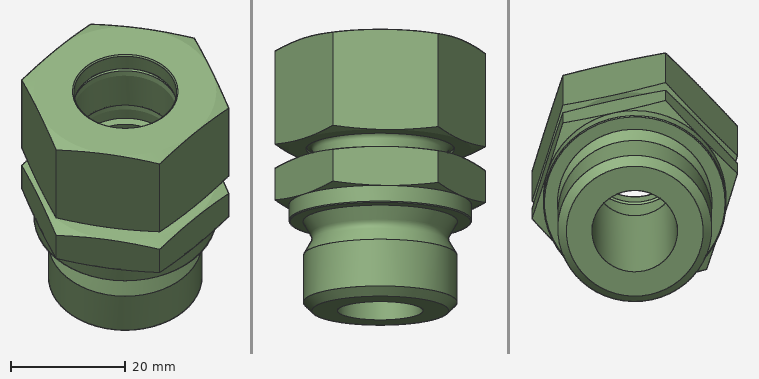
import cadquery as cq
import math

flange_bottom = 16.0
hex_bottom = 19.0
hex_top = 26.0
nut_bottom = 29.0
overall_height = 47.0

hexagon_sides = 6
across_flats = 32.0
hex_bevel_angle = 15.0

through_bore = 15.0
stud_diameter = 27.0
stud_chamfer = 1.5
groove_edge_diameter = 24.4
groove_angle = 30.0
groove_arc_bottom = 12.13
groove_arc_top = 13.65
flange_edge_chamfer = 0.2

neck_diameter = 23.7
neck_fillet = 1.1
neck_top = 28.4
thread_diameter = 26.0
socket_depth = 7.5
cone_mouth = 20.3
cone_half_angle = 12.0

tube_diameter = 18.0
nut_mouth_chamfer = 0.25
nut_lip_bottom = 43.7
ring_top = 42.95
ring_bottom = 34.75
ring_end_thickness = 0.25
ring_diameter = 23.0
ring_lead_in_height = 1.05

tube_radius = tube_diameter / 2
ring_radius = ring_diameter / 2
neck_radius = neck_diameter / 2
thread_radius = thread_diameter / 2
mouth_radius = cone_mouth / 2
stud_radius = stud_diameter / 2
flange_radius = across_flats / 2
groove_edge_radius = groove_edge_diameter / 2
cone_slope = math.tan(math.radians(cone_half_angle))
cone_bottom = ring_bottom - ring_end_thickness / cone_slope
body_top = cone_bottom + (mouth_radius - tube_radius) / cone_slope
ring_shoulder_bottom = nut_lip_bottom - (ring_radius - tube_radius)
ring_top_radius = tube_radius + nut_lip_bottom - ring_top


def revolve(outline):
    """Spin an outline of (radius, height) points around the Z axis."""
    return outline.close().revolve(360, (0, 0, 0), (0, 1, 0))


def bevelled_hexagon(bottom, top):
    """Hexagonal prism with flats facing X and its corners bevelled at both ends."""
    corner_radius = across_flats / math.sqrt(3)
    half_sector = 360 / hexagon_sides / 2
    bevel_drop = (corner_radius - flange_radius) * math.tan(math.radians(hex_bevel_angle))
    prism = (
        cq.Workplane("XY", origin=(0, 0, bottom))
        .polygon(hexagon_sides, 2 * corner_radius).extrude(top - bottom)
        .rotate((0, 0, 0), (0, 0, 1), half_sector)
    )
    envelope = revolve(
        cq.Workplane("XZ")
        .moveTo(0, bottom)
        .lineTo(flange_radius, bottom)
        .lineTo(corner_radius, bottom + bevel_drop)
        .lineTo(corner_radius, top - bevel_drop)
        .lineTo(flange_radius, top)
        .lineTo(0, top)
    )
    return prism.intersect(envelope)


def make_stud():
    """Stud with a V-shaped, round-bottomed groove below the flange."""
    slope = math.tan(math.radians(groove_angle))
    stud_cone_top = groove_arc_bottom - (stud_radius - groove_edge_radius) / slope
    arc_height = groove_arc_top - groove_arc_bottom
    arc_depth = arc_height / 2 * math.tan(math.radians(groove_angle / 2))
    arc_middle = (groove_edge_radius - arc_depth, (groove_arc_bottom + groove_arc_top) / 2)
    shoulder_radius = groove_edge_radius + (flange_bottom - groove_arc_top) * slope
    return revolve(
        cq.Workplane("XZ")
        .moveTo(0, 0)
        .lineTo(stud_radius - stud_chamfer, 0)
        .lineTo(stud_radius, stud_chamfer)
        .lineTo(stud_radius, stud_cone_top)
        .lineTo(groove_edge_radius, groove_arc_bottom)
        .threePointArc(arc_middle, (groove_edge_radius, groove_arc_top))
        .lineTo(shoulder_radius, flange_bottom)
        .lineTo(flange_radius - flange_edge_chamfer, flange_bottom)
        .lineTo(flange_radius, flange_bottom + flange_edge_chamfer)
        .lineTo(flange_radius, hex_bottom)
        .lineTo(0, hex_bottom)
    )


def make_nut_end():
    """Relieved neck and threaded end, modelled as a plain cylinder, that carry the nut."""
    arc_inset = neck_fillet * (1 - math.sqrt(0.5))
    lower_middle = (neck_radius + arc_inset, hex_top + arc_inset)
    upper_middle = (neck_radius + arc_inset, neck_top + neck_fillet - arc_inset)
    return revolve(
        cq.Workplane("XZ")
        .moveTo(0, hex_top)
        .lineTo(neck_radius + neck_fillet, hex_top)
        .threePointArc(lower_middle, (neck_radius, hex_top + neck_fillet))
        .lineTo(neck_radius, neck_top)
        .threePointArc(upper_middle, (neck_radius + neck_fillet, neck_top + neck_fillet))
        .lineTo(thread_radius, neck_top + neck_fillet)
        .lineTo(thread_radius, body_top)
        .lineTo(0, body_top)
    )


def make_body_bore():
    """Through bore, tube socket and the cone that receives the cutting ring."""
    socket_bottom = body_top - socket_depth
    return revolve(
        cq.Workplane("XZ")
        .moveTo(0, 0)
        .lineTo(through_bore / 2, 0)
        .lineTo(through_bore / 2, socket_bottom)
        .lineTo(tube_radius, socket_bottom)
        .lineTo(tube_radius, cone_bottom)
        .lineTo(mouth_radius, body_top)
        .lineTo(0, body_top)
    )


def make_fitting_body():
    hexagon = bevelled_hexagon(hex_bottom, hex_top)
    return make_stud().union(hexagon).union(make_nut_end()).cut(make_body_bore())


def make_nut():
    """Hexagonal nut whose inner 45-degree shoulder presses on the cutting ring."""
    cavity = revolve(
        cq.Workplane("XZ")
        .moveTo(0, nut_bottom)
        .lineTo(thread_radius, nut_bottom)
        .lineTo(thread_radius, body_top)
        .lineTo(ring_radius, body_top)
        .lineTo(ring_radius, ring_shoulder_bottom)
        .lineTo(tube_radius, nut_lip_bottom)
        .lineTo(tube_radius, overall_height - nut_mouth_chamfer)
        .lineTo(tube_radius + nut_mouth_chamfer, overall_height)
        .lineTo(0, overall_height)
    )
    return bevelled_hexagon(nut_bottom, overall_height).cut(cavity)


def make_cutting_ring():
    """Ring between the nut shoulder and the cone of the body."""
    return revolve(
        cq.Workplane("XZ")
        .moveTo(tube_radius, ring_bottom)
        .lineTo(tube_radius + ring_end_thickness, ring_bottom)
        .lineTo(mouth_radius, body_top)
        .lineTo(ring_radius, body_top)
        .lineTo(ring_radius, ring_shoulder_bottom)
        .lineTo(ring_top_radius, ring_top)
        .lineTo(tube_radius + ring_lead_in_height * cone_slope, ring_top)
        .lineTo(tube_radius, ring_top - ring_lead_in_height)
    )


fitting_body = make_fitting_body()
nut = make_nut()
cutting_ring = make_cutting_ring()

result = cq.Compound.makeCompound([fitting_body.val(), nut.val(), cutting_ring.val()])